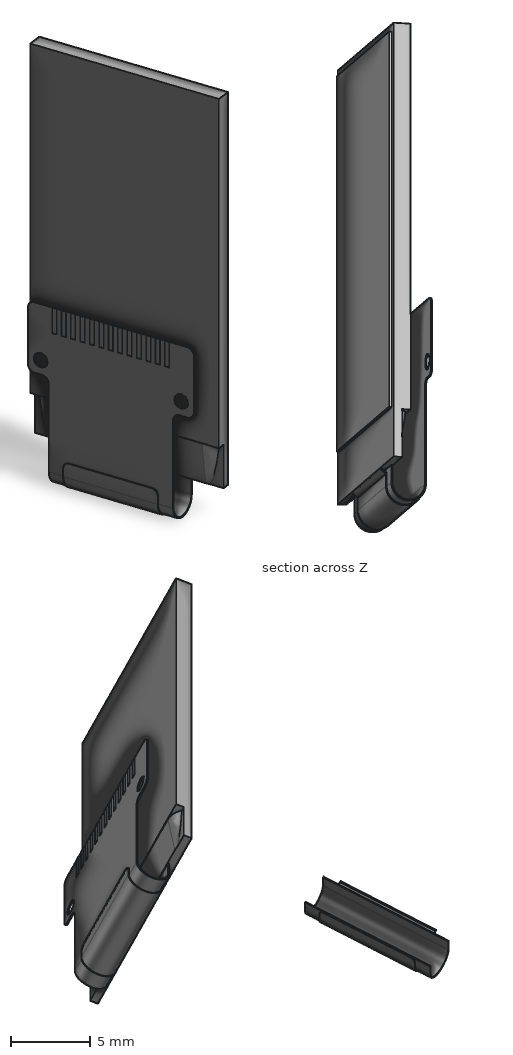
import cadquery as cq
import math


TOTAL_HEIGHT = 30.3
PANEL_HEIGHT = 28.0
PANEL_WIDTH = 14.0

PLATE_THICKNESS = 0.55
COVER_THICKNESS = 0.18
COVER_INSET = 0.5
COVER_BOTTOM = 3.3
FRONT_PLATE_BOTTOM = 3.1

RAMP_TOP_DEPTH = 0.52
RAMP_BOTTOM_DEPTH = 0.03
RAMP_FLAT_WIDTH = 11.4
RAMP_SIDE_RADIUS = 1.25

CABLE_THICKNESS = 0.1
CABLE_WIDTH = 9.2
BEND_INNER_DIAMETER = 2.1
HEAD_WIDTH = 12.3
HEAD_BOTTOM = 5.65
HEAD_TOP = 10.67
CABLE_CORNER_RADIUS = 0.5
HOLE_DIAMETER = 1.0
HOLE_SPACING = 10.43
HOLE_HEIGHT = 6.67

PAD_COUNT = 13
PAD_PITCH = 0.7
PAD_WIDTH = 0.33
PAD_LENGTH = 1.82
PAD_RAISE = 0.015

TAPE_THICKNESS = 0.05
TAPE_WIDTH = 7.03
TAPE_FRONT_TOP = -0.1
TAPE_CORNER_RADIUS = 0.45
TAPE_BACK_TOP = -0.27
TAPE_TAIL_WIDTH = 0.12

BEND_INNER_RADIUS = BEND_INNER_DIAMETER / 2
CABLE_OUTER_RADIUS = BEND_INNER_RADIUS + CABLE_THICKNESS
TAPE_OUTER_RADIUS = CABLE_OUTER_RADIUS + TAPE_THICKNESS
BEND_Y = -BEND_INNER_RADIUS
BEND_Z = PANEL_HEIGHT + TAPE_OUTER_RADIUS - TOTAL_HEIGHT
CABLE_FRONT_Y = BEND_Y - CABLE_OUTER_RADIUS


def block(width, y_min, y_max, z_min, z_max):
    """Box centred on X between the given Y and Z limits."""
    size_y = y_max - y_min
    size_z = z_max - z_min
    base = cq.Workplane("XY", origin=(0, y_min, z_min))
    return base.box(width, size_y, size_z, centered=(True, False, False))


def bent_strip(width, inner_radius, thickness, back_top, front_top):
    """Strip folded in a U around the bend axis, with a straight leg at each end."""
    outer_radius = inner_radius + thickness
    return (
        cq.Workplane("YZ")
        .moveTo(BEND_Y + inner_radius, back_top)
        .lineTo(BEND_Y + inner_radius, BEND_Z)
        .threePointArc((BEND_Y, BEND_Z - inner_radius), (BEND_Y - inner_radius, BEND_Z))
        .lineTo(BEND_Y - inner_radius, front_top)
        .lineTo(BEND_Y - outer_radius, front_top)
        .lineTo(BEND_Y - outer_radius, BEND_Z)
        .threePointArc((BEND_Y, BEND_Z - outer_radius), (BEND_Y + outer_radius, BEND_Z))
        .lineTo(BEND_Y + outer_radius, back_top)
        .close()
        .extrude(width / 2, both=True)
    )


def make_panel():
    """Back plate, shorter front plate and the inset cover on the rear."""
    back_plate = block(PANEL_WIDTH, 0, PLATE_THICKNESS, 0, PANEL_HEIGHT)
    front_plate = block(PANEL_WIDTH, -PLATE_THICKNESS, 0, FRONT_PLATE_BOTTOM, PANEL_HEIGHT)
    cover = block(
        PANEL_WIDTH - 2 * COVER_INSET,
        PLATE_THICKNESS,
        PLATE_THICKNESS + COVER_THICKNESS,
        COVER_BOTTOM,
        PANEL_HEIGHT - COVER_INSET,
    )
    return back_plate.union(front_plate).union(cover)


def make_ramp():
    """Ramp with rounded sides, swept down the slope so that it sinks into the back plate."""
    half_flat = RAMP_FLAT_WIDTH / 2

    def side_offset(depth):
        """Distance from the middle to the rounded side, at a given depth in front of Y = 0."""
        drop = RAMP_SIDE_RADIUS - depth
        return half_flat + math.sqrt(RAMP_SIDE_RADIUS**2 - drop**2)

    half_base = side_offset(RAMP_TOP_DEPTH)
    half_middle = side_offset(RAMP_TOP_DEPTH / 2)
    slope = cq.Workplane("YZ").moveTo(0, FRONT_PLATE_BOTTOM).lineTo(RAMP_TOP_DEPTH - RAMP_BOTTOM_DEPTH, 0)
    return (
        cq.Workplane("XY", origin=(0, 0, FRONT_PLATE_BOTTOM))
        .moveTo(-half_base, 0)
        .threePointArc((-half_middle, -RAMP_TOP_DEPTH / 2), (-half_flat, -RAMP_TOP_DEPTH))
        .lineTo(half_flat, -RAMP_TOP_DEPTH)
        .threePointArc((half_middle, -RAMP_TOP_DEPTH / 2), (half_base, 0))
        .close()
        .sweep(slope)
    )


def make_cable():
    """Folded cable with a wide head; every corner of the front leg is rounded."""
    back_y = CABLE_FRONT_Y + CABLE_THICKNESS
    strip = bent_strip(CABLE_WIDTH, BEND_INNER_RADIUS, CABLE_THICKNESS, 0, HEAD_BOTTOM)
    head = block(HEAD_WIDTH, CABLE_FRONT_Y, back_y, HEAD_BOTTOM, HEAD_TOP)
    cable = strip.union(head).edges("|Y").edges("<Y").fillet(CABLE_CORNER_RADIUS)

    holes = (
        cq.Workplane("XZ", origin=(0, back_y, HOLE_HEIGHT))
        .pushPoints([(-HOLE_SPACING / 2, 0), (HOLE_SPACING / 2, 0)])
        .circle(HOLE_DIAMETER / 2)
        .extrude(CABLE_THICKNESS)
    )
    return cable.cut(holes)


def make_pads():
    """Row of thin raised contacts that reach the top edge of the cable head."""
    return (
        cq.Workplane("XZ", origin=(0, CABLE_FRONT_Y, HEAD_TOP - PAD_LENGTH / 2))
        .rarray(PAD_PITCH, 0.3, PAD_COUNT, 1)
        .rect(PAD_WIDTH, PAD_LENGTH)
        .extrude(PAD_RAISE)
    )


def make_tape():
    """Tape wrapped around the bend, with rounded upper corners at the front."""
    strip = bent_strip(TAPE_WIDTH, CABLE_OUTER_RADIUS, TAPE_THICKNESS, TAPE_BACK_TOP, TAPE_FRONT_TOP)
    strip = strip.edges("|Y").edges("<Y").fillet(TAPE_CORNER_RADIUS)

    tail = (
        cq.Workplane("YZ")
        .moveTo(CABLE_THICKNESS, TAPE_BACK_TOP)
        .lineTo(PLATE_THICKNESS - TAPE_TAIL_WIDTH, 0)
        .lineTo(PLATE_THICKNESS, 0)
        .lineTo(CABLE_THICKNESS + TAPE_THICKNESS, TAPE_BACK_TOP - TAPE_THICKNESS)
        .lineTo(CABLE_THICKNESS, TAPE_BACK_TOP - TAPE_THICKNESS)
        .close()
        .extrude(TAPE_WIDTH / 2, both=True)
    )
    return strip.union(tail)


result = make_panel().union(make_ramp()).union(make_cable()).union(make_pads()).union(make_tape())